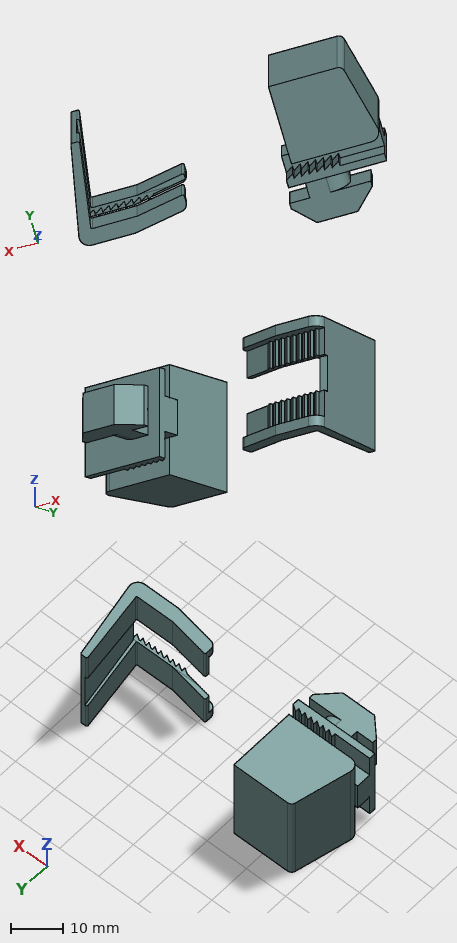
import cadquery as cq
import math


TOTAL_LENGTH = 61.0
BODY_HEIGHT = 22.0
RAIL_HEIGHT = 17.8
TOOTH_PITCH = 1.5

HEAD_LENGTH = 5.1
SHANK_LENGTH = 4.4
RAIL_LENGTH = 5.0
BLOCK_LENGTH = 16.0
HEAD_WIDTH = 16.15
SHANK_WIDTH = 8.1
SHANK_HEIGHT = 8.0
HEAD_RIM = 1.1
SHANK_CENTER_X = 12.85
RAIL_LEFT = 0.35
RAIL_WIDTH = 19.5
FLANGE_THICKNESS = 1.5
WEB_HEIGHT = 7.1
BLOCK_WIDTH = 17.85
BLOCK_TAPER = 13.3
BLOCK_BACK_RADIUS = 1.2
BLOCK_FRONT_RADIUS = 2.0
RAIL_TOOTH_COUNT = 7
RAIL_TOOTH_HEIGHT = 1.0

SHANK_START = HEAD_LENGTH
RAIL_START = SHANK_START + SHANK_LENGTH
BLOCK_START = RAIL_START + RAIL_LENGTH
BLOCK_END = BLOCK_START + BLOCK_LENGTH

ARM_LEFT = 39.35
ARM_SLOPE = 10.0
ARM_THICKNESS = 3.2
INNER_BEND_X = 49.1
OUTER_BEND_X = 50.35
ARM_END_RADIUS = 1.5
WALL_END_Y = 30.05
WALL_OUTER_LEAN = 11.3
WALL_INNER_LEAN = 8.8
INNER_CORNER_X = 58.3
OUTER_CORNER_RADIUS = 2.0
INNER_CORNER_RADIUS = 0.25
TIP_RADIUS = 0.35
CLIP_TOOTH_COUNT = 9
CLIP_TOOTH_START_X = 45.9
CLIP_TOOTH_ROOT_Y = 12.1
CLIP_TOOTH_GAP = 0.25
RECESS_END_SLOPE = 5.0
SLOT_HEIGHT = 7.15
SLOT_FLARE = 3.0
SLOT_CORNER_X = 59.0
POCKET_LEAN = 9.4
MARGIN = 3.05

ARM_OUTER_Y = RAIL_START
ARM_INNER_Y = ARM_OUTER_Y + ARM_THICKNESS


def slope(degrees):
    return math.tan(math.radians(degrees))


def extrude_about_midplane(points, height):
    """Close an XY outline and extrude it symmetrically about Z = 0."""
    return cq.Workplane("XY").polyline(points).close().extrude(height / 2, both=True)


def slab(left, width, start, length, height):
    """Box with its left/front edge at (left, start), centred on Z = 0."""
    return (
        cq.Workplane("XY")
        .box(width, length, height, centered=(False, False, True))
        .translate((left, start, 0))
    )


def make_block():
    corner_x = BLOCK_FRONT_RADIUS - BLOCK_FRONT_RADIUS * slope((90 + BLOCK_TAPER) / 2)
    back_x = corner_x + BLOCK_LENGTH * slope(BLOCK_TAPER)
    block = extrude_about_midplane(
        [
            (corner_x, BLOCK_START),
            (BLOCK_WIDTH, BLOCK_START),
            (BLOCK_WIDTH, BLOCK_END),
            (back_x, BLOCK_END),
        ],
        BODY_HEIGHT,
    )
    block = block.edges(cq.NearestToPointSelector((corner_x, BLOCK_START, 0))).fillet(BLOCK_FRONT_RADIUS)
    return block.edges(cq.NearestToPointSelector((back_x, BLOCK_END, 0))).fillet(BLOCK_BACK_RADIUS)


def make_toothed_flange():
    right = RAIL_LEFT + RAIL_WIDTH
    root_y = RAIL_START + FLANGE_THICKNESS
    points = [(RAIL_LEFT, root_y), (RAIL_LEFT, RAIL_START), (right, RAIL_START)]
    for index in range(RAIL_TOOTH_COUNT):
        tooth_right = right - index * TOOTH_PITCH
        tooth_left = tooth_right - TOOTH_PITCH
        points += [(tooth_right, root_y), (tooth_left, root_y + RAIL_TOOTH_HEIGHT)]
    points.append((tooth_left, root_y))
    return extrude_about_midplane(points, RAIL_HEIGHT)


def make_shank():
    """Block shank with two opposite corners rounded so that it can turn in its slot."""
    shank = slab(SHANK_CENTER_X - SHANK_WIDTH / 2, SHANK_WIDTH, SHANK_START, SHANK_LENGTH, SHANK_HEIGHT)
    mid_y = SHANK_START + SHANK_LENGTH / 2
    for side in (1, -1):
        corner = (SHANK_CENTER_X + side * SHANK_WIDTH / 2, mid_y, side * SHANK_HEIGHT / 2)
        shank = shank.edges(cq.NearestToPointSelector(corner)).fillet(SHANK_HEIGHT / 2)
    return shank


def make_head():
    half_width = HEAD_WIDTH / 2
    half_foot = half_width - (HEAD_LENGTH - HEAD_RIM)
    points = [
        (SHANK_CENTER_X - half_foot, 0),
        (SHANK_CENTER_X + half_foot, 0),
        (SHANK_CENTER_X + half_width, HEAD_LENGTH - HEAD_RIM),
        (SHANK_CENTER_X + half_width, HEAD_LENGTH),
        (SHANK_CENTER_X - half_width, HEAD_LENGTH),
        (SHANK_CENTER_X - half_width, HEAD_LENGTH - HEAD_RIM),
    ]
    return extrude_about_midplane(points, SHANK_HEIGHT)


def make_base():
    web = slab(RAIL_LEFT, RAIL_WIDTH, RAIL_START, RAIL_LENGTH, WEB_HEIGHT)
    return make_block().union(web).union(make_toothed_flange()).union(make_shank()).union(make_head())


def make_clip_profile():
    """Full-height L outline with rounded ends and corners."""
    outer_corner_x = TOTAL_LENGTH - OUTER_CORNER_RADIUS + OUTER_CORNER_RADIUS * slope(
        (90 + WALL_OUTER_LEAN) / 2
    )
    rise = slope(ARM_SLOPE)
    arm_low = (ARM_LEFT, ARM_OUTER_Y + (OUTER_BEND_X - ARM_LEFT) * rise)
    arm_high = (ARM_LEFT, ARM_INNER_Y + (INNER_BEND_X - ARM_LEFT) * rise)
    outer_corner = (outer_corner_x, ARM_OUTER_Y)
    inner_corner = (INNER_CORNER_X, ARM_INNER_Y)
    tip_outer = (outer_corner_x - (WALL_END_Y - ARM_OUTER_Y) * slope(WALL_OUTER_LEAN), WALL_END_Y)
    tip_inner = (INNER_CORNER_X - (WALL_END_Y - ARM_INNER_Y) * slope(WALL_INNER_LEAN), WALL_END_Y)
    clip = extrude_about_midplane(
        [
            arm_low,
            (OUTER_BEND_X, ARM_OUTER_Y),
            outer_corner,
            tip_outer,
            tip_inner,
            inner_corner,
            (INNER_BEND_X, ARM_INNER_Y),
            arm_high,
        ],
        BODY_HEIGHT,
    )
    rounded_corners = [
        (arm_low, ARM_END_RADIUS),
        (arm_high, TIP_RADIUS),
        (outer_corner, OUTER_CORNER_RADIUS),
        (inner_corner, INNER_CORNER_RADIUS),
        (tip_outer, TIP_RADIUS),
        (tip_inner, TIP_RADIUS),
    ]
    for (x, y), radius in rounded_corners:
        clip = clip.edges(cq.NearestToPointSelector((x, y, 0))).fillet(radius)
    return clip


def make_toothed_recess():
    """Cutter that thins the arm between its rims and leaves the row of teeth."""
    left = ARM_LEFT - MARGIN
    right = TOTAL_LENGTH + MARGIN
    bottom = ARM_OUTER_Y - MARGIN
    ramp_length = TOOTH_PITCH - CLIP_TOOTH_GAP
    tip_height = ramp_length * RAIL_TOOTH_HEIGHT / TOOTH_PITCH
    points = [
        (right, bottom),
        (left, bottom),
        (left, CLIP_TOOTH_ROOT_Y + (CLIP_TOOTH_START_X - left) * slope(ARM_SLOPE)),
    ]
    for index in range(CLIP_TOOTH_COUNT):
        tooth_left = CLIP_TOOTH_START_X + index * TOOTH_PITCH
        tooth_right = tooth_left + ramp_length
        points += [
            (tooth_left, CLIP_TOOTH_ROOT_Y),
            (tooth_right, CLIP_TOOTH_ROOT_Y - tip_height),
            (tooth_right, CLIP_TOOTH_ROOT_Y),
        ]
    points.append((right, CLIP_TOOTH_ROOT_Y - (right - tooth_right) * slope(RECESS_END_SLOPE)))
    return extrude_about_midplane(points, RAIL_HEIGHT)


def make_flared_slot():
    """Cutter for the slot through the arm, which runs on as a flared pocket in the wall."""
    left = ARM_LEFT - MARGIN
    right = TOTAL_LENGTH + MARGIN
    bottom = ARM_OUTER_Y - MARGIN
    top = WALL_END_Y + MARGIN
    lean = slope(POCKET_LEAN)
    footprint = extrude_about_midplane(
        [
            (left, bottom),
            (right, bottom),
            (right, ARM_INNER_Y + (right - SLOT_CORNER_X) * lean),
            (SLOT_CORNER_X, ARM_INNER_Y),
            (SLOT_CORNER_X - (top - ARM_INNER_Y) * lean, top),
            (left, top),
        ],
        BODY_HEIGHT,
    )
    half_slot = SLOT_HEIGHT / 2
    half_flare = half_slot + (top - ARM_INNER_Y) * slope(SLOT_FLARE)
    flare = (
        cq.Workplane("YZ")
        .polyline(
            [
                (bottom, -half_slot),
                (ARM_INNER_Y, -half_slot),
                (top, -half_flare),
                (top, half_flare),
                (ARM_INNER_Y, half_slot),
                (bottom, half_slot),
            ]
        )
        .close()
        .extrude(right - left)
        .translate((left, 0, 0))
    )
    return footprint.intersect(flare)


def make_clip():
    return make_clip_profile().cut(make_toothed_recess()).cut(make_flared_slot())


base = make_base()
clip = make_clip()
result = cq.Compound.makeCompound([base.val(), clip.val()])